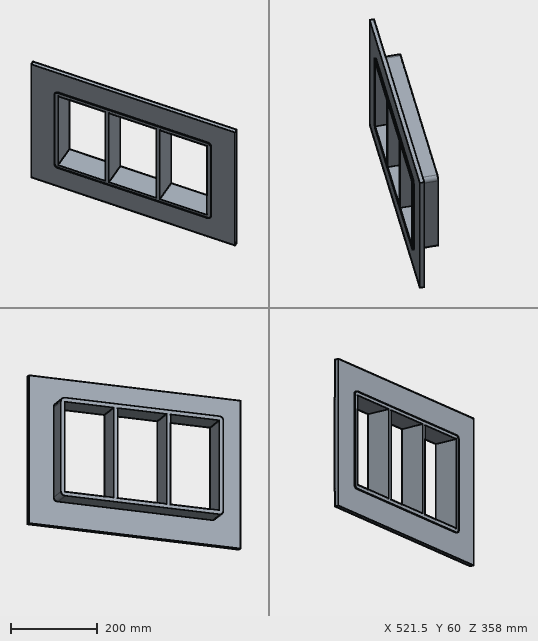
import cadquery as cq

plate_width = 521.5
plate_height = 358.0
plate_thickness = 10.5

frame_width = 400.5
frame_height = 237.5
frame_depth = 60.0
front_lip = 2.5
wall = 10.0
corner_radius = 10.0

opening_count = 3
opening_width = (frame_width - (opening_count + 1) * wall) / opening_count
opening_height = frame_height - 2 * wall
opening_pitch = opening_width + wall


def block(width, depth, height, front_y):
    """Block centred on X and Z that runs from front_y toward +Y."""
    return cq.Workplane("XY").box(width, depth, height).translate((0, front_y + depth / 2, 0))


plate = block(plate_width, plate_thickness, plate_height, 0)
frame = block(frame_width, frame_depth, frame_height, -front_lip).edges("|Y").fillet(corner_radius)
result = plate.union(frame)

opening = block(opening_width, frame_depth, opening_height, -front_lip)
for index in range(opening_count):
    offset_x = (index - (opening_count - 1) / 2) * opening_pitch
    result = result.cut(opening.translate((offset_x, 0, 0)))